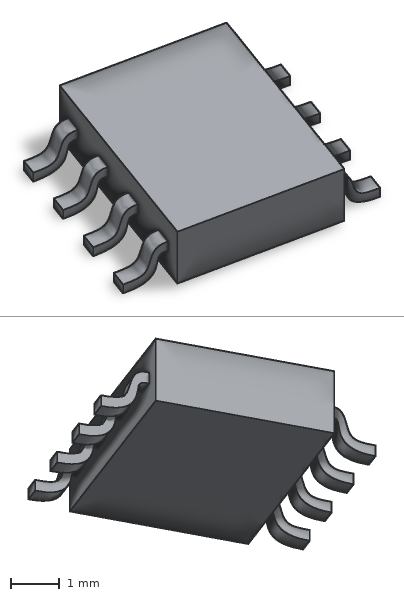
import cadquery as cq

body_width = 5.0
body_depth = 3.9
body_height = 1.45
standoff = 0.125

overall_depth = 6.0
leads_per_side = 4
lead_pitch = 1.27
lead_width = 0.395

lead_reach = (overall_depth - body_depth) / 2
lead_thickness = 0.25
shoulder_top = 0.985
shoulder_bottom = shoulder_top - lead_thickness

upper_shoulder_controls = (0.25, 0.55)
upper_foot_controls = (0.33, 0.455)
lower_shoulder_controls = (0.25, 0.425)
lower_foot_controls = (-0.115, 0.73)


def make_body():
    """Plain rectangular package, raised above the sole of the leads."""
    return (
        cq.Workplane("XY")
        .workplane(offset=standoff)
        .rect(body_width, body_depth)
        .extrude(body_height)
    )


def lead_face(shoulder_height, shoulder_controls, foot_height, foot_controls):
    """Control points of one S-shaped lead face, from the body wall to the tip of the foot."""
    shoulder = [(distance, shoulder_height) for distance in (0, *shoulder_controls)]
    foot = [(distance, foot_height) for distance in (*foot_controls, lead_reach)]
    return shoulder + foot


def make_lead():
    """Gull-wing lead centred on X = 0 that leaves the body wall toward +Y."""
    upper_face = lead_face(shoulder_top, upper_shoulder_controls, lead_thickness, upper_foot_controls)
    lower_face = lead_face(shoulder_bottom, lower_shoulder_controls, 0, lower_foot_controls)
    return (
        cq.Workplane("YZ", origin=(-lead_width / 2, body_depth / 2, 0))
        .bezier(upper_face)
        .lineTo(*lower_face[-1])
        .bezier(lower_face[::-1])
        .close()
        .extrude(lead_width)
    )


def make_leads():
    """Matching rows of leads along the front and back walls, each lead a separate solid."""
    back_lead = make_lead()
    front_lead = back_lead.rotate((0, 0, 0), (0, 0, 1), 180)
    leads = []
    for index in range(leads_per_side):
        x = (index - (leads_per_side - 1) / 2) * lead_pitch
        for lead in (back_lead, front_lead):
            leads.append(lead.translate((x, 0, 0)).val())
    return leads


body = make_body()
leads = make_leads()

result = cq.Compound.makeCompound([body.val(), *leads])